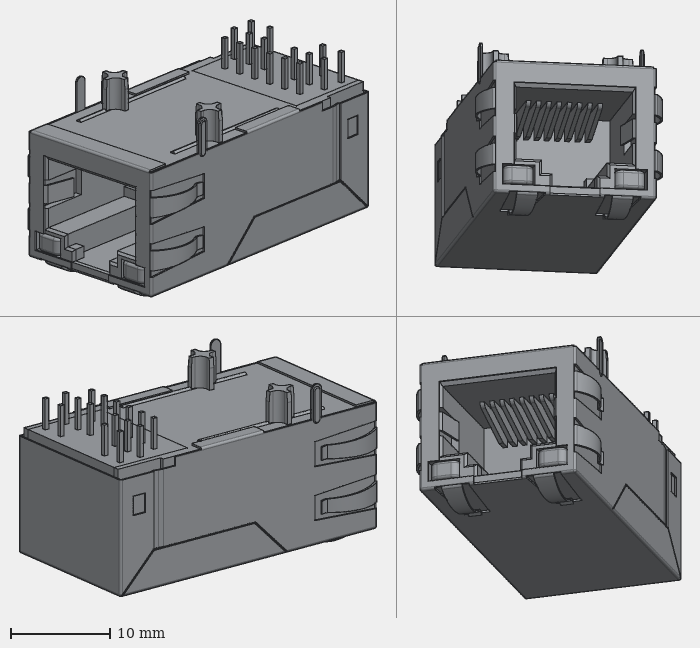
import cadquery as cq

length = 32.8
overall_width, overall_height = 19.0, 18.5
side_spring_bulge, bottom_spring_bulge = 1.15, 1.25
half_width = overall_width / 2 - side_spring_bulge
body_top = 13.55
sheet = 0.2
bend_radius = 0.25
inner_half_width = half_width - sheet
rear_face = length - sheet

front_flap_length = 2.5
front_flap_half_width = 8.05
side_flap_start, side_flap_end = 14.43, 22.45
side_flap_inner_x = 6.72
rear_notch_start, rear_notch_floor = 25.78, 12.55
window_half_width, window_top, window_bottom = 6.23, 11.5, 0.92
led_window_outer_x, led_window_inner_x, led_window_top = 7.4, 4.1, 3.02
lip_gap_half_width = 2.55

spring_length, spring_tip_half, spring_root_half = 7.38, 0.7, 1.08
slot_length, slot_tip_half, slot_root_half = 7.97, 1.35, 1.85
spring_crest_y, spring_bend_y = 3.55, 6.55
spring_tip_drop, spring_tip_curl = 0.9, 0.13
spring_root_y, spring_root_drop = 0.13, 0.1
side_spring_z = (4.0, 9.77)
bottom_spring_x = 4.9

seam_top, seam_width = 4.23, 0.13
seam_front_y = 11.5
crimp_front_y, crimp_rear_y, crimp_depth = 27.32, 28.5, 0.15
catch_front_y, catch_rear_y, catch_bottom, catch_top = 29.6, 31.13, 8.43, 10.5
catch_recess = 0.13

tab_y, tab_half_width = 7.75, 0.62
tab_top = overall_height - bottom_spring_bulge
bead_bottom, bead_top, bead_half_width, bead_height = 13.05, 17.0, 0.43, 0.115

finger_bottom, finger_top, finger_tip_x, finger_tip_y = 6.25, 8.25, 5.3, 3.55
finger_bend = 0.3
finger_recess_bottom, finger_recess_top, finger_recess_x = 5.75, 8.8, 6.72
finger_recess_rear_y = 5.38

port_half_width, port_top, port_depth = 5.97, 11.1, 13.12
ledge_top, ledge_inner_x, port_floor = 3.65, 3.35, 1.02
stop_top, stop_inner_x, stop_rear_y = 2.25, 2.3, 1.67
lead_in, floor_lead_in, ceiling_lead_in = 0.25, 0.13, 0.43
inner_step_length, inner_step_top, inner_ledge_top = 1.3, 3.55, 4.7

contact_count, contact_pitch, contact_width = 8, 1.05, 0.45
contact_front_y, contact_rear_y = 5.9, 11.8
contact_nose_z, contact_nose_length, contact_bottom = 10.53, 0.45, 8.75

rear_step_y, rear_half_width = 27.2, 7.7
post_x, post_y, post_top = 6.35, 10.9, 16.95
post_reach, post_arm_half, post_round = 1.57, 0.25, 0.85
post_tip_chamfer, post_tip_chamfer_height = 0.1, 1.05
rib_start, rib_end, rib_half_width = 5.4, 21.2, 0.3

insert_half_width, insert_front_y, insert_depth = 7.05, 23.25, 2.62
pin_size, pin_top = 0.45, 16.85
pin_rows = {
    31.1: (3.58, 6.1),
    28.55: (2.05, 4.07, 6.1),
    25.98: (1.02, 3.05, 5.1),
}

led_depth, led_bottom, led_top = 3.95, 1.02, 2.92
led_x, led_half_width = 5.7, 1.55
led_side_round, led_edge_round = 0.8, 0.3


def block(x0, x1, y0, y1, z0, z1):
    """Box between two opposite corners."""
    return cq.Workplane("XY").box(x1 - x0, y1 - y0, z1 - z0, centered=False).translate((x0, y0, z0))


def both_sides(shape):
    """The shape together with its mirror image across the middle plane."""
    return shape.union(shape.mirror("YZ"))


def shield_shell():
    """Folded sheet box: closed front and rear, with narrow flaps over the housing top."""
    flap_top = body_top + sheet
    shell = block(-half_width, half_width, 0, length, 0, flap_top).edges().fillet(bend_radius)
    shell = shell.cut(block(-inner_half_width, inner_half_width, sheet, rear_face, sheet, body_top))
    openings = (
        (half_width, front_flap_length, side_flap_start),
        (side_flap_inner_x, side_flap_start, side_flap_end),
        (half_width, side_flap_end, length),
    )
    for half, y0, y1 in openings:
        shell = shell.cut(block(-half, half, y0, y1, body_top, flap_top))
    flap_side = block(front_flap_half_width, half_width, 0, front_flap_length, body_top, flap_top)
    shell = shell.cut(both_sides(flap_side))
    return shell.cut(block(-half_width, half_width, rear_notch_start, length, rear_notch_floor, flap_top))


def front_window():
    """Opening in the front sheet for the port, the lights and the housing lip."""
    port = block(-window_half_width, window_half_width, 0, sheet, window_bottom, window_top)
    lights = block(-led_window_outer_x, led_window_outer_x, 0, sheet, window_bottom, led_window_top)
    lip = block(-lip_gap_half_width, lip_gap_half_width, 0, sheet, 0, window_bottom)
    return port.union(lights).union(lip)


def tapered_plan(root_half, tip_half, reach, z0, z1):
    """Prism that narrows from the front edge towards its tip."""
    outline = [(-root_half, 0), (root_half, 0), (tip_half, reach), (-tip_half, reach)]
    return cq.Workplane("XY").workplane(offset=z0).polyline(outline).close().extrude(z1 - z0)


def spring_finger(bulge):
    """Bowed finger with a curled tip, hanging below the plane Z = 0 and rooted at Y = 0."""
    tip = bulge - spring_tip_drop
    curl_y = (spring_bend_y + spring_length) / 2
    finger = (
        cq.Workplane("YZ")
        .moveTo(0, sheet)
        .threePointArc((spring_root_y / 4, spring_root_drop / 2), (spring_root_y, -spring_root_drop))
        .threePointArc((spring_crest_y, -bulge), (spring_bend_y, -tip))
        .threePointArc((curl_y, -tip), (spring_length, -tip - spring_tip_curl))
        .lineTo(spring_length, sheet - tip - spring_tip_curl)
        .threePointArc((curl_y, sheet - tip), (spring_bend_y, sheet - tip))
        .threePointArc((spring_crest_y, sheet - bulge), (sheet, sheet))
        .close()
        .extrude(spring_root_half, both=True)
    )
    plan = tapered_plan(spring_root_half, spring_tip_half, spring_length, -2 * bulge, 2 * bulge)
    return finger.intersect(plan)


def spring_slot():
    """Cutter for the clearance slot around a spring in the bottom sheet."""
    return tapered_plan(slot_root_half, slot_tip_half, slot_length, 0, sheet)


def on_left_wall(shape, z):
    """Turns a shape made for the bottom sheet onto the left wall at height z."""
    return shape.rotate((0, 0, 0), (0, 1, 0), 90).translate((-half_width, 0, z))


def add_springs(shell):
    """Cuts the slots and adds two springs to each side wall and two to the bottom sheet."""
    slots = [spring_slot().translate((-bottom_spring_x, 0, 0))]
    springs = [spring_finger(bottom_spring_bulge).translate((-bottom_spring_x, 0, 0))]
    for z in side_spring_z:
        slots.append(on_left_wall(spring_slot(), z))
        springs.append(on_left_wall(spring_finger(side_spring_bulge), z))
    for slot in slots:
        shell = shell.cut(both_sides(slot))
    for spring in springs:
        shell = shell.union(both_sides(spring))
    return shell


def side_prism(outline, depth):
    """Prism of a (Y, Z) outline that starts at the inner wall face and runs outwards."""
    return cq.Workplane("YZ").workplane(offset=inner_half_width).polyline(outline).close().extrude(depth)


def trapezoid(inset):
    """Outline with 45 degree flanks whose top and flanks lie inside the seam by the inset."""
    top = seam_top - inset
    rise = top - sheet
    flank_shift = inset * (2 ** 0.5 - 1)
    rear_y = rear_face - inset - flank_shift
    front_y = seam_front_y + inset + flank_shift
    return [(rear_y, sheet), (rear_y - rise, top), (front_y + rise, top), (front_y, sheet)]


def wall_seam():
    """Thin slit around the trapezoid flap folded up from the bottom sheet."""
    return side_prism(trapezoid(0), sheet).cut(side_prism(trapezoid(seam_width), sheet))


def add_crimp(shell):
    """Upright crimp: a step inwards at its rear that curves out again towards the front."""
    z0, height = seam_top, rear_notch_floor - seam_top

    def wedge(surface_x):
        ramp_length = crimp_rear_y - crimp_front_y
        return (
            cq.Workplane("XY")
            .workplane(offset=z0)
            .moveTo(surface_x, crimp_front_y)
            .threePointArc(
                (surface_x - crimp_depth / 8, crimp_front_y + ramp_length / 4),
                (surface_x - crimp_depth / 2, crimp_front_y + ramp_length / 2),
            )
            .threePointArc(
                (surface_x - crimp_depth * 7 / 8, crimp_rear_y - ramp_length / 4),
                (surface_x - crimp_depth, crimp_rear_y),
            )
            .lineTo(surface_x, crimp_rear_y)
            .close()
            .extrude(height)
        )

    shell = shell.union(both_sides(wedge(inner_half_width)))
    return shell.cut(both_sides(wedge(half_width)))


def catch_window(x0, x1):
    return both_sides(block(x0, x1, catch_front_y, catch_rear_y, catch_bottom, catch_top))


def ground_tab():
    """Round-ended upright tab with a raised bead on its outside."""
    round_z = tab_top - tab_half_width
    front_y, rear_y = tab_y - tab_half_width, tab_y + tab_half_width
    tab = block(inner_half_width, half_width, front_y, rear_y, bead_bottom, round_z)
    tip = cq.Workplane("YZ").workplane(offset=inner_half_width).center(tab_y, round_z)
    tab = tab.union(tip.circle(tab_half_width).extrude(sheet))
    bead_middle = (bead_bottom + bead_top) / 2
    bead = (
        cq.Workplane("YZ")
        .workplane(offset=half_width)
        .center(tab_y, bead_middle)
        .slot2D(bead_top - bead_bottom, 2 * bead_half_width, 90)
        .extrude(bead_height, taper=45)
    )
    return both_sides(tab.union(bead))


def contact_finger():
    """Finger bent in from the window edge and slanted into the port."""
    bend_x = window_half_width - finger_bend
    outline = [
        (window_half_width, 0),
        (bend_x, finger_bend),
        (finger_tip_x, finger_tip_y),
        (finger_tip_x + sheet, finger_tip_y),
        (bend_x + sheet, finger_bend + sheet / 2),
        (window_half_width, sheet),
    ]
    finger = cq.Workplane("XY").workplane(offset=finger_bottom).polyline(outline).close()
    return both_sides(finger.extrude(finger_top - finger_bottom))


def make_shield():
    shield = shield_shell().cut(front_window())
    shield = add_springs(shield)
    shield = shield.cut(both_sides(wall_seam()))
    shield = add_crimp(shield)
    shield = shield.cut(catch_window(inner_half_width, half_width))
    return shield.union(ground_tab()).union(contact_finger())


def port_outline(grow, floor_grow, ceiling_grow):
    """Stepped (X, Z) outline of the port mouth, enlarged by the given amounts."""
    right = [
        (stop_inner_x + grow, port_floor - floor_grow),
        (stop_inner_x + grow, stop_top - grow),
        (ledge_inner_x + grow, stop_top - grow),
        (ledge_inner_x + grow, ledge_top - grow),
        (port_half_width + grow, ledge_top - grow),
        (port_half_width + grow, port_top + ceiling_grow),
    ]
    return right + [(-x, z) for x, z in reversed(right)]


def port_cavity():
    """Plug space with a flared mouth, latch stops, side ledges and a stepped rear end."""
    throat_y = sheet + lead_in
    mouth = (
        cq.Workplane("XZ", origin=(0, sheet, 0))
        .polyline(port_outline(lead_in, floor_lead_in, ceiling_lead_in))
        .close()
        .workplane(offset=-lead_in)
        .polyline(port_outline(0, 0, 0))
        .close()
        .loft(ruled=True)
    )
    throat = (
        cq.Workplane("XZ", origin=(0, throat_y, 0))
        .polyline(port_outline(0, 0, 0))
        .close()
        .extrude(throat_y - stop_rear_y)
    )
    step_y = port_depth - inner_step_length
    plug = block(-port_half_width, port_half_width, stop_rear_y, port_depth, ledge_top, port_top)
    latch = block(-ledge_inner_x, ledge_inner_x, stop_rear_y, step_y, port_floor, ledge_top)
    latch_end = block(-ledge_inner_x, ledge_inner_x, step_y, port_depth, inner_step_top, ledge_top)
    ledge_end = block(ledge_inner_x, port_half_width, step_y, port_depth, ledge_top, inner_ledge_top)
    cavity = mouth.union(throat).union(plug).union(latch).union(latch_end)
    return cavity.cut(both_sides(ledge_end)).union(finger_recess())


def finger_recess():
    """Recesses in the port walls behind the contact fingers."""
    return both_sides(
        block(
            port_half_width,
            finger_recess_x,
            sheet,
            finger_recess_rear_y,
            finger_recess_bottom,
            finger_recess_top,
        )
    )


def contact_rib(x):
    """Round-nosed slanted contact hanging from the port ceiling and running into its rear wall."""
    nose_middle = (contact_front_y + contact_nose_length / 4, (port_top + contact_nose_z) / 2)
    nose_end = (contact_front_y + contact_nose_length, contact_nose_z)
    return (
        cq.Workplane("YZ")
        .workplane(offset=x - contact_width / 2)
        .moveTo(contact_front_y, port_top)
        .threePointArc(nose_middle, nose_end)
        .lineTo(contact_rear_y, contact_bottom)
        .lineTo(port_depth, contact_bottom)
        .lineTo(port_depth, port_top)
        .close()
        .extrude(contact_width)
    )


def led_pocket():
    return both_sides(
        block(led_window_inner_x, led_window_outer_x, sheet, led_depth, window_bottom, led_window_top)
    )


def insert_pocket():
    floor = body_top - insert_depth
    return block(-insert_half_width, insert_half_width, insert_front_y, rear_face, floor, body_top)


def locating_post():
    """Cross-shaped post with concave corners between its four arms and relieved arm tips."""
    height = post_top - body_top
    arm_width = 2 * post_arm_half
    corner = post_arm_half + post_round
    post = cq.Workplane("XY").rect(2 * corner, 2 * corner).extrude(height)
    for side_x in (-1, 1):
        for side_y in (-1, 1):
            hollow = cq.Workplane("XY").center(side_x * corner, side_y * corner)
            post = post.cut(hollow.circle(post_round).extrude(height))
    arm = cq.Workplane("XY").rect(2 * post_reach, arm_width).extrude(height)
    arm = arm.faces(">Z").edges("|Y").chamfer(post_tip_chamfer_height, post_tip_chamfer)
    post = post.union(arm).union(arm.rotate((0, 0, 0), (0, 0, 1), 90))
    return both_sides(post.translate((post_x, post_y, body_top)))


def top_rib():
    """Low round-topped rib along the housing top."""
    rib = (
        cq.Workplane("XZ", origin=(post_x, rib_end, body_top))
        .moveTo(-rib_half_width, 0)
        .threePointArc((0, sheet), (rib_half_width, 0))
        .close()
        .extrude(rib_end - rib_start)
    )
    return both_sides(rib)


def make_housing():
    housing = block(-inner_half_width, inner_half_width, sheet, rear_face, sheet, body_top)
    rear_step = block(rear_half_width, inner_half_width, rear_step_y, rear_face, sheet, body_top)
    housing = housing.cut(both_sides(rear_step))
    housing = housing.union(catch_window(rear_half_width, half_width - catch_recess))
    housing = housing.cut(port_cavity()).cut(led_pocket()).cut(insert_pocket())
    for index in range(contact_count):
        x = (index - (contact_count - 1) / 2) * contact_pitch
        housing = housing.union(contact_rib(x))
    return housing.union(top_rib()).union(locating_post())


def make_pin_insert():
    """Block set into the rear of the housing top, with its rows of upright square pins."""
    insert = insert_pocket()
    half_pin = pin_size / 2
    for y, distances in pin_rows.items():
        for x in distances:
            pin = block(x - half_pin, x + half_pin, y - half_pin, y + half_pin, body_top, pin_top)
            insert = insert.union(both_sides(pin))
    return insert


def make_led(side):
    """Light block with a rounded front, seated against the rear of its pocket."""
    x = side * led_x
    led = block(x - led_half_width, x + led_half_width, 0, led_depth, led_bottom, led_top)
    led = led.edges("|Z and <Y").fillet(led_side_round)
    return led.faces("<Y").edges("|X").fillet(led_edge_round)


shield = make_shield()
housing = make_housing()
pin_insert = make_pin_insert()
leds = [make_led(side) for side in (-1, 1)]

result = cq.Compound.makeCompound(
    [shield.val(), housing.val(), pin_insert.val(), *[led.val() for led in leds]]
)